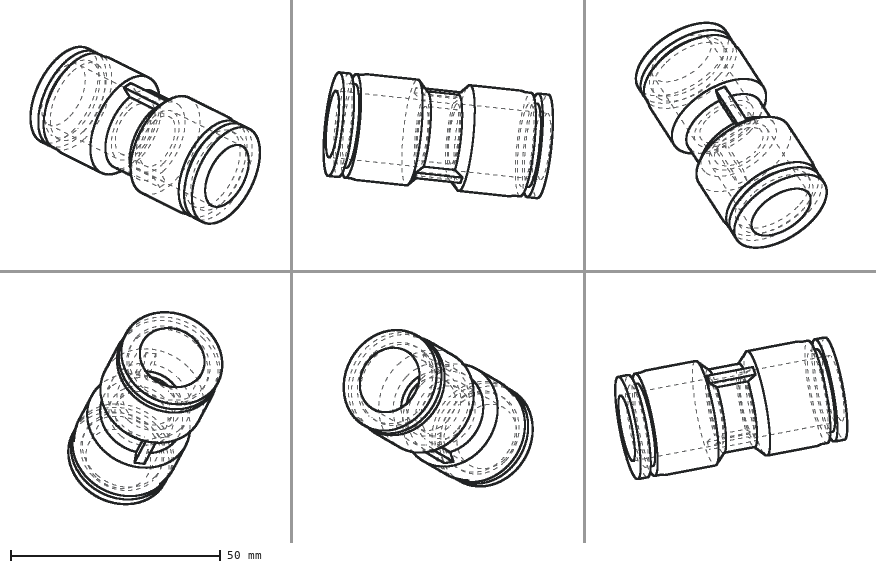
import cadquery as cq

length = 51.6
body_radius = 12.75
half_length = length / 2

collar_face_depth = 0.3
collar_end = 2.8
groove_end = 4.5
ring_end = 6.0
body_start = 7.05
body_end = 19.45
neck_start = 22.0

collar_radius = 12.5
groove_radius = 10.05
neck_radius = 10.15
socket_radius = 8.0
bore_radius = 6.55

stop_length = length - 2 * neck_start
socket_depth = (length - stop_length) / 2

rib_width = 2.5
rib_height = 12.0
shoulder_slope = (body_radius - neck_radius) / (neck_start - body_end)
rib_length = stop_length + 2 * (rib_height - neck_radius) / shoulder_slope


def outer_body():
    """Revolve one half of the profile about X and mirror it to the other end."""
    half_profile = [
        (0, 0),
        (0, socket_radius),
        (collar_face_depth, collar_radius),
        (collar_end, collar_radius),
        (collar_end, groove_radius),
        (groove_end, groove_radius),
        (groove_end, collar_radius),
        (ring_end, collar_radius),
        (body_start, body_radius),
        (body_end, body_radius),
        (neck_start, neck_radius),
        (half_length, neck_radius),
        (half_length, 0),
    ]
    points = [(depth - half_length, radius) for depth, radius in half_profile]
    half = cq.Workplane("XY").polyline(points).close().revolve(360, (0, 0, 0), (1, 0, 0))
    return half.union(half.mirror("YZ"))


def ribs():
    """Flat web spanning the neck; the bore later splits it into two ribs."""
    return cq.Workplane("XY").box(rib_length, rib_width, 2 * rib_height)


def cylinder_along_x(start, radius, depth):
    return cq.Workplane("YZ", origin=(start, 0, 0)).circle(radius).extrude(depth)


through_bore = cylinder_along_x(-half_length, bore_radius, length)
left_socket = cylinder_along_x(-half_length, socket_radius, socket_depth)
right_socket = left_socket.mirror("YZ")

result = outer_body().union(ribs()).cut(through_bore).cut(left_socket).cut(right_socket)